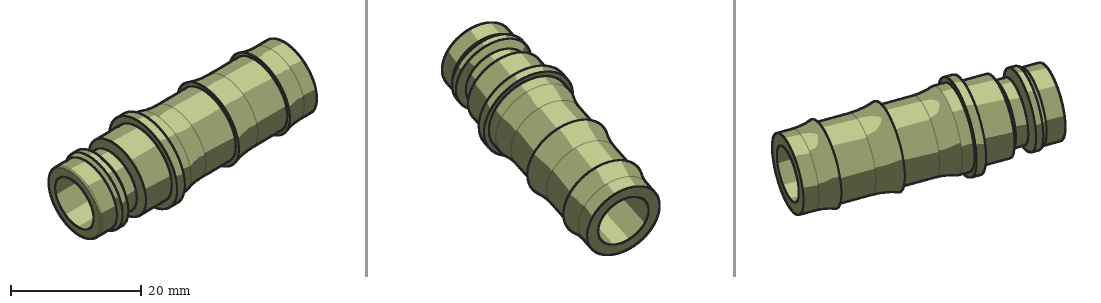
import cadquery as cq

length = 43.5
bore_radius = 4.52

tip_radius = 6.25
tip_round = 0.25
plug_radius = 6.75
groove_radius = 5.45
flange_radius = 8.0

tip_end = 3.2
bead_start = 3.95
bead_end = 5.15
groove_start = 5.9
groove_end = 7.95
plug_start = 8.7
flange_start = 13.9
flange_end = 15.5

tail_radius = 6.52
collar_radius = 7.15
collar_end = 17.5
collar_flare_end = 21.0
middle_barb_radius = 7.25
middle_barb_start = 27.05
middle_barb_end = 31.55
end_barb_radius = 7.15
end_barb_start = 37.5
end_barb_end = 40.95


def add_flare(profile, peak_radius, peak_station, end_station):
    """Step out to a barb peak, then sweep down a concave arc tangent to the tail tube."""
    rise = peak_radius - tail_radius
    run = end_station - peak_station
    arc_radius = (run**2 + rise**2) / (2 * rise)
    half_run = run / 2
    middle_rise = arc_radius - (arc_radius**2 - half_run**2) ** 0.5
    middle = (tail_radius + middle_rise, peak_station + half_run)
    return profile.lineTo(peak_radius, peak_station).threePointArc(middle, (tail_radius, end_station))


profile = (
    cq.Workplane("XY")
    .moveTo(bore_radius, 0)
    .lineTo(tip_radius - tip_round, 0)
    .radiusArc((tip_radius, tip_round), -tip_round)
    .lineTo(tip_radius, tip_end)
    .lineTo(plug_radius, bead_start)
    .lineTo(plug_radius, bead_end)
    .lineTo(groove_radius, groove_start)
    .lineTo(groove_radius, groove_end)
    .lineTo(plug_radius, plug_start)
    .lineTo(plug_radius, flange_start)
    .lineTo(flange_radius, flange_start)
    .lineTo(flange_radius, flange_end)
    .lineTo(collar_radius, flange_end)
)

profile = add_flare(profile, collar_radius, collar_end, collar_flare_end)
profile = profile.lineTo(tail_radius, middle_barb_start)
profile = add_flare(profile, middle_barb_radius, middle_barb_start, middle_barb_end)
profile = profile.lineTo(tail_radius, end_barb_start)
profile = add_flare(profile, end_barb_radius, end_barb_start, end_barb_end)
profile = profile.lineTo(tail_radius, length).lineTo(bore_radius, length).close()

result = profile.revolve(360, (0, 0, 0), (0, 1, 0)).translate((0, -length / 2, 0))